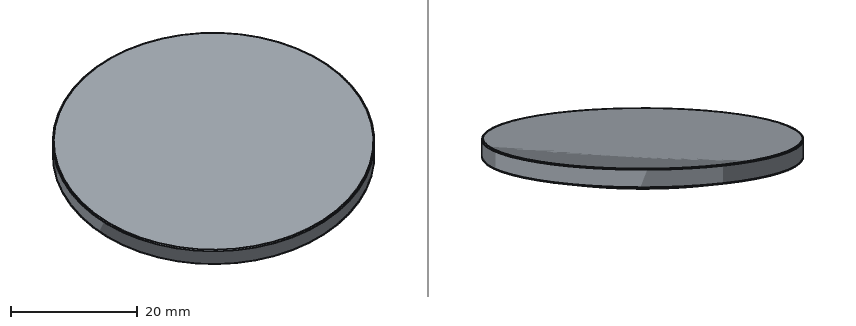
import cadquery as cq

diameter = 50.8
overall_height = 6.25
bevel = 0.2
convex_sag = 3.1
concave_sag = 1.25

rim_radius = diameter / 2
face_radius = rim_radius - bevel


def sphere_radius(sag):
    """Radius of the sphere whose cap spans the face with the given sag."""
    return (face_radius**2 + sag**2) / (2 * sag)


def cap_height(sag, r):
    """Height above the cap's lowest point at distance r from the axis."""
    radius = sphere_radius(sag)
    return radius - (radius**2 - r**2) ** 0.5


hollow_bottom = overall_height - concave_sag
mid_r = face_radius / 2
half_section = (
    cq.Workplane("XZ")
    .threePointArc((mid_r, cap_height(convex_sag, mid_r)), (face_radius, convex_sag))
    .lineTo(rim_radius, convex_sag + bevel)
    .lineTo(rim_radius, overall_height - bevel)
    .lineTo(face_radius, overall_height)
    .threePointArc(
        (mid_r, hollow_bottom + cap_height(concave_sag, mid_r)),
        (0, hollow_bottom),
    )
    .close()
)

result = half_section.revolve(360, (0, 0, 0), (0, 1, 0))